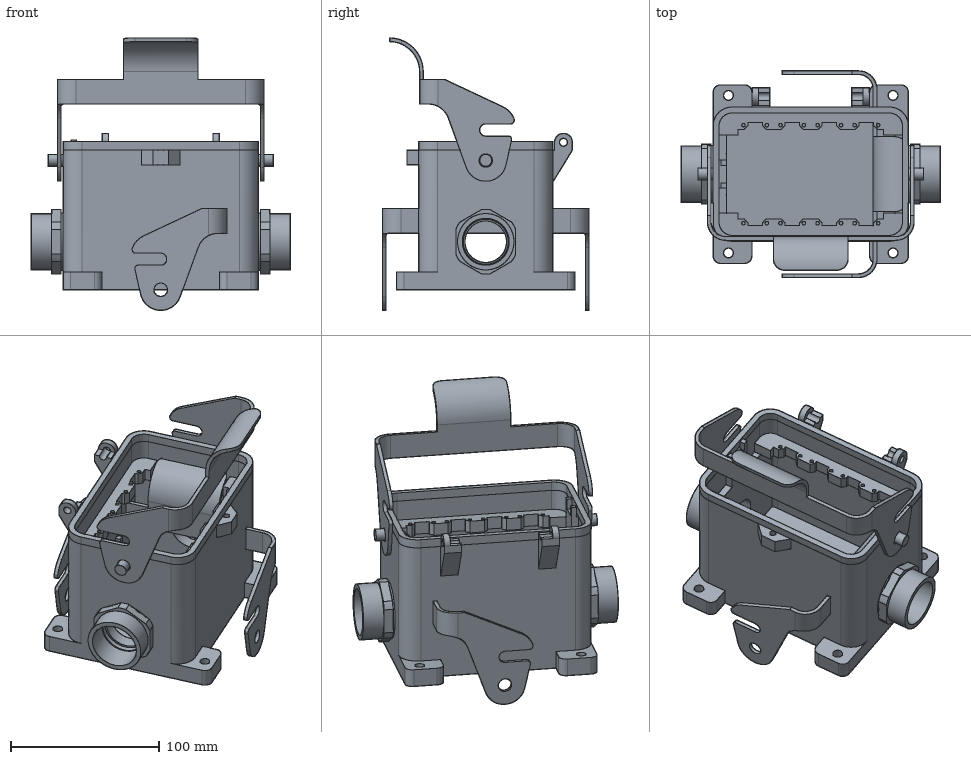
import cadquery as cq
import math

box_length = 131.8
box_width = 90.6
box_corner = 12.9
wall = 4.0
floor = 7.4
housing_height = 94.3
inner_length = box_length - 2 * wall
inner_width = box_width - 2 * wall
inner_corner = box_corner - wall

foot_length = 26.3
foot_height = 12.1
foot_span = 120.5
foot_corner = 5.1
foot_hole = 6.5
foot_hole_x = 55.5
foot_hole_y = 53.1

total_length = 175.0
gland_z = 32.5
gland_outer = 38.0
gland_neck = 39.0
gland_mouth = 31.6
gland_mouth_depth = 18.0
gland_step_bore = 30.3
gland_through_bore = 28.0
hex_flats = 40.5
hex_round = 43.7
hex_inner_x = 67.3
hex_outer_x = 73.5

pin_diameter = 8.0
pin_end_x = 75.9
pin_z = 87.5

ledge_top = 80.5
ledge_thickness = 8.5
ledge_end_x = 49.0
ledge_end_y = 26.3
ledge_side_y = 30.1
notch_depth_y = 34.7
notch_width = 10.0
notch_pitch = 25.0
notch_count = 4
notch_chamfer = 2.5
contact_hole = 2.4
contact_hole_y = 33.0
contact_hole_offset = 7.9

end_wall_x = 57.0
end_wall_top = ledge_top - ledge_thickness
end_wall_depth = inner_length / 2 - end_wall_x
key_length = 19.0
key_top = 94.3
key_post_x = 60.5
key_post_width = 3.5
key_post_top = 101.3

ear_y = 52.4
ear_z = 99.6
ear_radius = 6.0
ear_hole = 5.1
ear_root_z = 72.8
ear_outer_x = 39.5
ear_full_width = 4.5
ear_width = 12.0

lug_width = 26.3
lug_reach = 7.9
lug_bottom = 84.4
lug_hole = 4.0
lug_hole_offset = 2.2

seal_height = 5.9

upper_pivot_z = 87.3
lower_pivot_z = 0.2
lever_span = 139.5
sheet = 2.5
bend_radius = 12.5
bar_reach = 44.7
bar_bottom = 38.0
bar_top = 54.8
pivot_radius = 14.0
pivot_hole = 9.0
slot_z = 20.5
slot_width = 8.0
back_angle = -20
front_angle = -167
top_corner_x = 27.8
hook_start = (-11.4, 36.4)
hook_middle = (-16.0, 33.0)
hook_end = (-19.1, 28.3)
hook_tip_middle = (-19.0, 26.0)
hook_tip_x = -17.3
jaw_start_x = -15.3
jaw_middle = (-17.0, 15.8)
jaw_end = (-17.5, 14.0)
bar_fillet = 14.3
handle_width = 50.5
handle_radius = 22.8
handle_bend_z = 60.0
handle_corner = 7.9


def rounded_block(length, width, height, radius, z=0.0):
    block = cq.Workplane("XY", origin=(0, 0, z)).rect(length, width).extrude(height)
    return block.edges("|Z").fillet(radius)


def x_cylinder(diameter, x_start, x_end, z):
    profile = cq.Workplane("YZ", origin=(x_start, 0, z)).circle(diameter / 2)
    return profile.extrude(x_end - x_start)


def inner_block(height, z):
    """Block with the plan of the box cavity."""
    return rounded_block(inner_length, inner_width, height, inner_corner, z)


def box_shell():
    shell = rounded_block(box_length, box_width, housing_height, box_corner)
    cavity = inner_block(housing_height, floor)
    return shell.cut(cavity)


def feet():
    x_middle = (box_length - foot_length) / 2
    bars = (
        cq.Workplane("XY")
        .pushPoints([(-x_middle, 0), (x_middle, 0)])
        .rect(foot_length, foot_span)
        .extrude(foot_height)
        .edges("|Z")
        .fillet(foot_corner)
    )
    bars = bars.cut(inner_block(housing_height, floor))
    hole_points = [(sx * foot_hole_x, sy * foot_hole_y) for sx in (-1, 1) for sy in (-1, 1)]
    holes = cq.Workplane("XY").pushPoints(hole_points).circle(foot_hole / 2).extrude(foot_height)
    return bars.cut(holes)


def gland():
    """Gland on the +X end."""
    hex_sides = 6
    half_side_angle = 180 / hex_sides
    hexagon = (
        cq.Workplane("YZ", origin=(hex_inner_x, 0, gland_z))
        .polygon(hex_sides, hex_flats / math.cos(math.radians(half_side_angle)))
        .extrude(hex_outer_x - hex_inner_x)
        .rotate((0, 0, gland_z), (1, 0, gland_z), half_side_angle)
    )
    hexagon = hexagon.intersect(x_cylinder(hex_round, hex_inner_x, hex_outer_x, gland_z))
    neck = x_cylinder(gland_neck, box_length / 2, hex_inner_x, gland_z)
    tube = x_cylinder(gland_outer, hex_outer_x, total_length / 2, gland_z)
    return neck.union(hexagon).union(tube)


def gland_bores():
    """Stepped bore through the +X gland and wall."""
    through = x_cylinder(gland_through_bore, end_wall_x, total_length / 2, gland_z)
    step = x_cylinder(gland_step_bore, box_length / 2, total_length / 2, gland_z)
    mouth = x_cylinder(gland_mouth, total_length / 2 - gland_mouth_depth, total_length / 2, gland_z)
    return through.union(step).union(mouth)


def pivot_pin():
    return x_cylinder(pin_diameter, box_length / 2, pin_end_x, pin_z)


def ledge():
    """Contact ledge along both sides, with a notch between each pair of holes."""
    bottom = ledge_top - ledge_thickness
    plate = inner_block(ledge_thickness, bottom)
    opening = (
        cq.Workplane("XY", origin=(0, 0, bottom))
        .rect(inner_length, 2 * ledge_end_y)
        .extrude(ledge_thickness)
        .union(
            cq.Workplane("XY", origin=(0, 0, bottom))
            .rect(2 * ledge_end_x, 2 * ledge_side_y)
            .extrude(ledge_thickness)
        )
    )
    half = notch_width / 2
    chamfer_y = ledge_side_y + notch_chamfer
    mouth = half + notch_chamfer
    for index in range(notch_count):
        x = (index - (notch_count - 1) / 2) * notch_pitch
        notch = [
            (x - mouth, ledge_side_y),
            (x - half, chamfer_y),
            (x - half, notch_depth_y),
            (x + half, notch_depth_y),
            (x + half, chamfer_y),
            (x + mouth, ledge_side_y),
        ]
        outline = notch + [(px, -py) for px, py in reversed(notch)]
        cutter = cq.Workplane("XY", origin=(0, 0, bottom)).polyline(outline).close()
        opening = opening.union(cutter.extrude(ledge_thickness))
        hole_points = [
            (x + sx * contact_hole_offset, sy * contact_hole_y) for sx in (-1, 1) for sy in (-1, 1)
        ]
        holes = cq.Workplane("XY", origin=(0, 0, bottom)).pushPoints(hole_points)
        opening = opening.union(holes.circle(contact_hole / 2).extrude(ledge_thickness))
    return plate.cut(opening)


def thick_end_wall():
    """Thickening of the +X wall, from the floor up to the underside of the ledge."""
    height = end_wall_top - floor
    fill = inner_block(height, floor)
    return fill.intersect(
        cq.Workplane("XY", origin=(end_wall_x, 0, floor))
        .box(end_wall_depth, inner_width, height, centered=(False, True, False))
    )


def key_block():
    """Key standing on the -X end wall, with a taller post at each end."""
    body = (
        cq.Workplane("XY", origin=(-inner_length / 2, 0, end_wall_top))
        .box(end_wall_depth, key_length, key_top - end_wall_top, centered=(False, True, False))
    )
    post_y = (key_length - key_post_width) / 2
    posts = (
        cq.Workplane("XY", origin=(-(end_wall_x + key_post_x) / 2, 0, end_wall_top))
        .pushPoints([(0, -post_y), (0, post_y)])
        .rect(key_post_x - end_wall_x, key_post_width)
        .extrude(key_post_top - end_wall_top)
    )
    return body.union(posts)


def ear():
    """Hinge ear at +X: a full eye, with a half-round cradle beside it."""
    inner_x = ear_outer_x - ear_width
    y_wall = box_width / 2
    outer_y = ear_y + ear_radius
    inner_y = ear_y - ear_radius
    profile = (
        cq.Workplane("YZ", origin=(inner_x, 0, 0))
        .moveTo(y_wall, ear_root_z)
        .lineTo(outer_y, housing_height)
        .lineTo(outer_y, ear_z)
        .threePointArc((ear_y, ear_z + ear_radius), (inner_y, ear_z))
        .lineTo(inner_y, housing_height)
        .lineTo(y_wall, housing_height)
        .close()
        .extrude(ear_width)
    )
    hole = (
        cq.Workplane("YZ", origin=(inner_x, ear_y, ear_z))
        .circle(ear_hole / 2)
        .extrude(ear_width)
    )
    above_cradle = (
        cq.Workplane("XY", origin=(inner_x, ear_y, ear_z))
        .box(ear_width - ear_full_width, 2 * ear_radius, ear_radius, centered=(False, True, False))
    )
    return profile.cut(hole).cut(above_cradle)


def lug():
    y_wall = -box_width / 2
    half = lug_width / 2
    outline = [
        (-half, y_wall),
        (-half + lug_reach, y_wall - lug_reach),
        (half - lug_reach, y_wall - lug_reach),
        (half, y_wall),
    ]
    height = housing_height - lug_bottom
    block = cq.Workplane("XY", origin=(0, 0, lug_bottom)).polyline(outline).close().extrude(height)
    hole = (
        cq.Workplane("XY", origin=(0, y_wall - lug_hole_offset, lug_bottom))
        .circle(lug_hole / 2)
        .extrude(height)
    )
    return block.cut(hole)


def on_pivot(degrees):
    """Point on the round end about the pivot."""
    angle = math.radians(degrees)
    return (pivot_radius * math.cos(angle), pivot_radius * math.sin(angle))


def lever_inner_corner():
    """Corner, before rounding, between the sloping back edge and the underside of the cross bar."""
    back_x, back_z = on_pivot(back_angle)
    slope = math.tan(math.radians(90 + back_angle))
    return (back_x + (bar_bottom - back_z) / slope, 0, bar_bottom)


def lever_side_profile():
    """Side plate in the XZ plane with the pivot at the origin."""
    slot_top = slot_z + slot_width / 2
    slot_bottom = slot_z - slot_width / 2
    corner_x, _, corner_z = lever_inner_corner()
    return (
        cq.Workplane("XZ")
        .moveTo(bar_reach, bar_bottom)
        .lineTo(bar_reach, bar_top)
        .lineTo(top_corner_x, bar_top)
        .lineTo(*hook_start)
        .threePointArc(hook_middle, hook_end)
        .threePointArc(hook_tip_middle, (hook_tip_x, slot_top))
        .lineTo(0, slot_top)
        .threePointArc((slot_width / 2, slot_z), (0, slot_bottom))
        .lineTo(jaw_start_x, slot_bottom)
        .threePointArc(jaw_middle, jaw_end)
        .lineTo(*on_pivot(front_angle))
        .threePointArc((0, -pivot_radius), on_pivot(back_angle))
        .lineTo(corner_x, corner_z)
        .close()
    )


def lever_handle():
    """Thumb tab that rises from the cross bar and curls outward through a quarter circle."""
    inner_face = bar_reach - sheet
    tip = inner_face + handle_radius
    top = handle_bend_z + handle_radius
    outer_arc_mid = handle_radius * math.cos(math.pi / 4)
    inner_radius = handle_radius - sheet
    inner_arc_mid = inner_radius * math.cos(math.pi / 4)
    tab = (
        cq.Workplane("XZ")
        .moveTo(inner_face, bar_bottom)
        .lineTo(inner_face, handle_bend_z)
        .threePointArc((tip - outer_arc_mid, handle_bend_z + outer_arc_mid), (tip, top))
        .lineTo(tip, handle_bend_z + inner_radius)
        .threePointArc((tip - inner_arc_mid, handle_bend_z + inner_arc_mid), (bar_reach, handle_bend_z))
        .lineTo(bar_reach, bar_bottom)
        .close()
        .extrude(handle_width / 2, both=True)
    )
    tip_plan = (
        cq.Workplane("XY")
        .rect(2 * tip, handle_width)
        .extrude(top)
        .edges("|Z")
        .fillet(handle_corner)
    )
    return tab.intersect(tip_plan)


def lever():
    """Sheet lever with its pivot on the Y axis and its handle towards +X."""
    sides = lever_side_profile().extrude(lever_span / 2, both=True)
    sides = sides.edges(cq.NearestToPointSelector(lever_inner_corner())).fillet(bar_fillet)
    back_x = -2 * pivot_radius
    tall = bar_top + pivot_radius
    bent_sheet = (
        cq.Workplane("XY", origin=(back_x, 0, -pivot_radius))
        .box(bar_reach - back_x, lever_span, tall, centered=(False, True, False))
        .edges("|Z and >X")
        .fillet(bend_radius)
    )
    space = (
        cq.Workplane("XY", origin=(back_x, 0, -pivot_radius))
        .box(bar_reach - sheet - back_x, lever_span - 2 * sheet, tall, centered=(False, True, False))
        .edges("|Z and >X")
        .fillet(bend_radius - sheet)
    )
    hole = cq.Workplane("XZ").circle(pivot_hole / 2).extrude(lever_span, both=True)
    return sides.intersect(bent_sheet.cut(space)).cut(hole).union(lever_handle())


def seal():
    """Rim frame lying on the top of the housing walls."""
    frame = rounded_block(box_length, box_width, seal_height, box_corner, housing_height)
    opening = inner_block(seal_height, housing_height)
    return frame.cut(opening)


upper_lever = lever().rotate((0, 0, 0), (0, 0, 1), -90).translate((0, 0, upper_pivot_z))
lower_lever = lever().translate((0, 0, lower_pivot_z))

housing = box_shell().union(feet()).union(ledge()).union(lug()).union(key_block())
for end in (gland(), pivot_pin(), thick_end_wall(), ear()):
    housing = housing.union(end).union(end.mirror("YZ"))
housing = housing.cut(gland_bores()).cut(gland_bores().mirror("YZ")).cut(lower_lever)

result = cq.Compound.makeCompound([housing.val(), seal().val(), upper_lever.val(), lower_lever.val()])